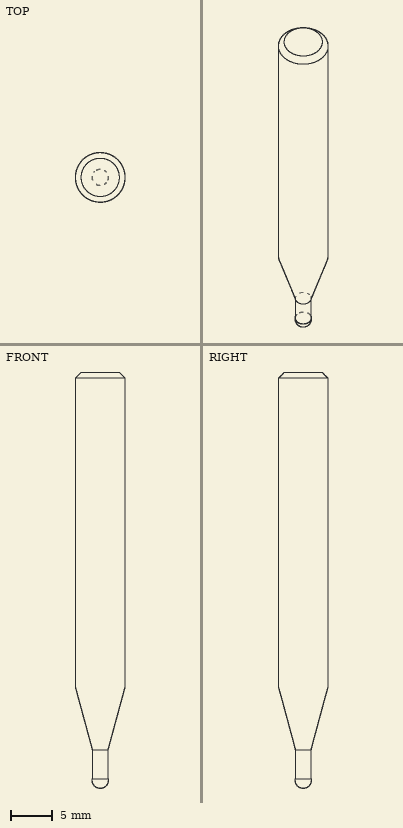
import cadquery as cq
import math

total_length = 50.0
shank_radius = 3.0
ball_radius = 1.0

top_chamfer = 0.7
taper_top_z = 12.2
taper_bottom_z = 4.65

neck_radius = 0.95
land_height = 0.15
land_top_z = ball_radius + land_height


def make_shank():
    """Revolve the cylindrical shank with its top chamfer and lower taper."""
    profile = (
        cq.Workplane("XZ")
        .moveTo(0, taper_bottom_z)
        .lineTo(neck_radius, taper_bottom_z)
        .lineTo(shank_radius, taper_top_z)
        .lineTo(shank_radius, total_length - top_chamfer)
        .lineTo(shank_radius - top_chamfer, total_length)
        .lineTo(0, total_length)
        .close()
    )
    return profile.revolve(360, (0, 0), (0, 1))


def make_tip():
    """Revolve the neck, land and ball nose; the lowest point is at Z = 0."""
    arc_mid_x = ball_radius * math.sin(math.pi / 4)
    arc_mid_z = ball_radius - ball_radius * math.cos(math.pi / 4)
    profile = (
        cq.Workplane("XZ")
        .moveTo(0, 0)
        .threePointArc((arc_mid_x, arc_mid_z), (ball_radius, ball_radius))
        .lineTo(ball_radius, land_top_z)
        .lineTo(neck_radius, land_top_z)
        .lineTo(neck_radius, taper_bottom_z)
        .lineTo(0, taper_bottom_z)
        .close()
    )
    return profile.revolve(360, (0, 0), (0, 1))


shank = make_shank()
tip = make_tip()

result = cq.Compound.makeCompound([shank.val(), tip.val()])